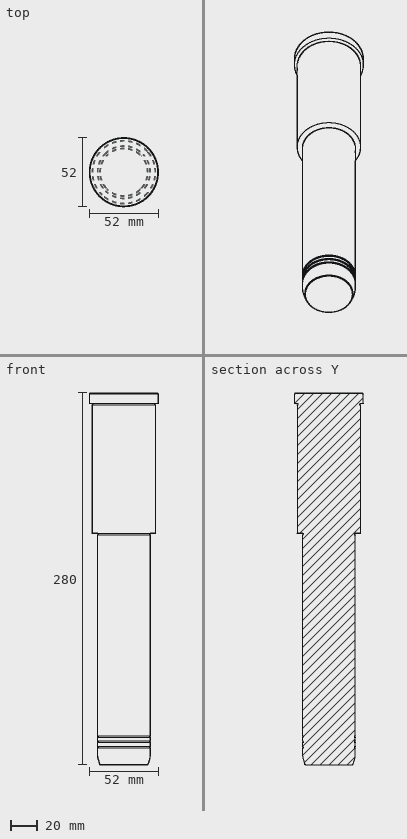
import cadquery as cq

total_length = 280.0
flange_thickness = 7.8
flange_bottom = total_length - flange_thickness
sleeve_bottom = 174.5
nose_height = 8.0

flange_radius = 26.0
sleeve_radius = 48.0 / 2
shaft_radius = 40.0 / 2
nose_end_radius = 18.2
nose_arc_radius = 22.5

flange_top_chamfer = 0.5
nose_end_chamfer = 0.5

groove_radius = 0.5
ring_count = 3
lowest_ring = 13.5
highest_ring = 21.5
ring_pitch = (highest_ring - lowest_ring) / (ring_count - 1)


def cylinder(radius, bottom, top):
    return cq.Workplane("XY").workplane(offset=bottom).circle(radius).extrude(top - bottom)


def flange():
    return cylinder(flange_radius, flange_bottom, total_length).faces(">Z").chamfer(flange_top_chamfer)


def nose():
    """Rounded lead-in at the bottom of the shaft, chamfered at its end face."""
    return (
        cq.Workplane("XZ")
        .lineTo(nose_end_radius - nose_end_chamfer, 0)
        .lineTo(nose_end_radius, nose_end_chamfer)
        .radiusArc((shaft_radius, nose_height), -nose_arc_radius)
        .lineTo(0, nose_height)
        .close()
        .revolve(360, (0, 0, 0), (0, 1, 0))
    )


def groove(surface_radius, height):
    """Ring of round section, centred on a cylindrical surface at the given height."""
    return (
        cq.Workplane("XZ")
        .center(surface_radius, height)
        .circle(groove_radius)
        .revolve(360, (-surface_radius, 0, 0), (-surface_radius, 1, 0))
    )


result = (
    nose()
    .union(cylinder(shaft_radius, nose_height, sleeve_bottom))
    .union(cylinder(sleeve_radius, sleeve_bottom, flange_bottom))
    .union(flange())
)

for neck_radius, shoulder in ((shaft_radius, sleeve_bottom), (sleeve_radius, flange_bottom)):
    result = result.cut(groove(neck_radius, shoulder - groove_radius))

for index in range(ring_count):
    result = result.cut(groove(shaft_radius, lowest_ring + index * ring_pitch))